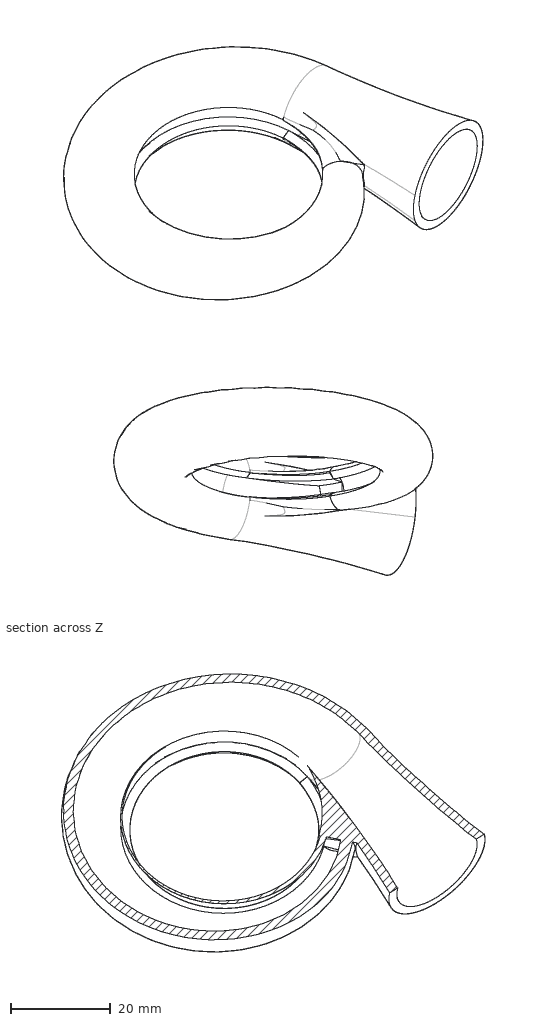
import cadquery as cq
import math


BORE_RADIUS = 18.88
LIP_HALF_HEIGHT = 2.6
WALL = 2.0
SEAM_ANGLE = 90.0
TONGUE_ANGLE = 400.0
SEAM_DIAMETER = 17.5
TONGUE_DIAMETER = 8.9
SPIRAL_STEPS = 12
PIPE_LENGTH = 34.5
PIPE_MID_DIAMETER = 19.5
PIPE_END_DIAMETER = 24.07
PIPE_END_SHIFT = 0.2
CUT_MARGIN = 0.5

WEB_START_ANGLE = TONGUE_ANGLE - 360
WEB_MID_ANGLE = (WEB_START_ANGLE + SEAM_ANGLE) / 2

TONGUE_RADIUS = TONGUE_DIAMETER / 2
TONGUE_CENTRE_OFFSET = math.sqrt(TONGUE_RADIUS**2 - LIP_HALF_HEIGHT**2)
WEB_BULGE = 0.12
WEB_STATIONS = [
    (WEB_START_ANGLE, TONGUE_CENTRE_OFFSET, TONGUE_RADIUS, 8.5, 3.0),
    (WEB_MID_ANGLE, 1.8, 3.8, 2.9, 5.2),
    (SEAM_ANGLE, 0.3, 3.3, 1.9, 5.7),
]
PASSAGE_STATIONS = [
    (WEB_START_ANGLE, 1.6, 1.4, 5.3, 1.8),
    (WEB_MID_ANGLE, 1.6, 1.7, 7.0, 2.0),
    (SEAM_ANGLE, 1.9, 2.0, 7.0, 2.2),
]


def radial_plane(angle):
    """Plane through the Z axis: local x points outward, local y points up."""
    t = math.radians(angle)
    return cq.Plane((0, 0, 0), (math.cos(t), math.sin(t), 0), (math.sin(t), -math.cos(t), 0))


def spiral_radius(angle):
    """Tube radius; the tube area falls off evenly with angle."""
    share = (angle - SEAM_ANGLE) / (TONGUE_ANGLE - SEAM_ANGLE)
    return math.sqrt(SEAM_DIAMETER**2 + share * (TONGUE_DIAMETER**2 - SEAM_DIAMETER**2)) / 2


def centre_offset(radius):
    """Distance from the slot lips to the tube centre."""
    return math.sqrt(radius**2 - LIP_HALF_HEIGHT**2)


def tube_wall(plane, radius):
    """C-shaped tube section, its ends square to the wall at the bore slot."""
    offset = centre_offset(radius)
    centre = BORE_RADIUS + offset
    inner_radius = radius - WALL
    inner_share = inner_radius / radius
    throat = centre - offset * inner_share
    throat_half = LIP_HALF_HEIGHT * inner_share
    wp = cq.Workplane(plane).moveTo(BORE_RADIUS, -LIP_HALF_HEIGHT)
    wp = wp.threePointArc((centre + radius, 0), (BORE_RADIUS, LIP_HALF_HEIGHT))
    wp = wp.lineTo(throat, throat_half)
    wp = wp.threePointArc((centre + inner_radius, 0), (throat, -throat_half))
    return wp.close().val()


def pipe_outline(plane, centre, radius, roundness):
    """Circle whose bore-side strip goes from flat (roundness 0) to round (1)."""
    half_strip = LIP_HALF_HEIGHT * radius / (SEAM_DIAMETER / 2)
    strip = centre - math.sqrt(radius**2 - half_strip**2)
    crest = strip + roundness * (centre - radius - strip)
    wp = cq.Workplane(plane).moveTo(strip, -half_strip)
    wp = wp.threePointArc((centre + radius, 0), (strip, half_strip))
    if roundness > 0:
        wp = wp.threePointArc((crest, 0), (strip, -half_strip))
    return wp.close().val()


def symmetric_polygon(plane, upper_points):
    """Closed outline from its upper half, mirrored about the mid-plane."""
    lower_points = [(x, -z) for x, z in reversed(upper_points)]
    return cq.Workplane(plane).polyline(upper_points + lower_points).close().val()


def web_outline(plane, crown, edge):
    """Web section: arcs from the slot lips to the crowns, then straight to the edges."""
    lip = (BORE_RADIUS, LIP_HALF_HEIGHT)
    run = crown[0] - lip[0]
    rise = crown[1] - lip[1]
    mid = (lip[0] + run / 2 - WEB_BULGE * rise, lip[1] + rise / 2 + WEB_BULGE * run)
    wp = cq.Workplane(plane).moveTo(lip[0], -lip[1]).lineTo(*lip)
    wp = wp.threePointArc(mid, crown).lineTo(*edge).lineTo(edge[0], -edge[1])
    wp = wp.lineTo(crown[0], -crown[1]).threePointArc((mid[0], -mid[1]), (lip[0], -lip[1]))
    return wp.wire().val()


def loft(wires):
    return cq.Workplane(cq.Solid.makeLoft(wires))


def spiral_tube():
    """Tapering tube with its ring slot open to the bore."""
    sections = []
    for i in range(SPIRAL_STEPS + 1):
        angle = SEAM_ANGLE + i * (TONGUE_ANGLE - SEAM_ANGLE) / SPIRAL_STEPS
        sections.append(tube_wall(radial_plane(angle), spiral_radius(angle)))
    return loft(sections)


def pipe_bodies():
    """Outside of the flared outlet pipe and its round hollow."""
    seam_radius = SEAM_DIAMETER / 2
    seam_centre = BORE_RADIUS + centre_offset(seam_radius)
    stations = [
        (0.0, seam_radius),
        (0.5, PIPE_MID_DIAMETER / 2),
        (1.0, PIPE_END_DIAMETER / 2),
    ]
    outside = []
    hollow = []
    for share, radius in stations:
        centre = seam_centre + share * PIPE_END_SHIFT
        plane = cq.Plane((share * PIPE_LENGTH, 0, 0), (0, 1, 0), (1, 0, 0))
        outside.append(pipe_outline(plane, centre, radius, share))
        hollow.append(cq.Workplane(plane).center(centre, 0).circle(radius - WALL).wires().val())
    return loft(outside), loft(hollow)


def web_bodies():
    """Gusset between the narrow end and the pipe, and the passage through it."""
    outside = []
    hollow = []
    for angle, crown, crown_z, edge, edge_z in WEB_STATIONS:
        crown_point = (BORE_RADIUS + crown, crown_z)
        edge_point = (BORE_RADIUS + edge, edge_z)
        outside.append(web_outline(radial_plane(angle), crown_point, edge_point))
    for angle, throat, throat_z, end, end_z in PASSAGE_STATIONS:
        upper = [
            (BORE_RADIUS - CUT_MARGIN, LIP_HALF_HEIGHT),
            (BORE_RADIUS + throat, throat_z),
            (BORE_RADIUS + end, end_z),
        ]
        hollow.append(symmetric_polygon(radial_plane(angle), upper))
    return loft(outside), loft(hollow)


spiral = spiral_tube()
pipe, pipe_hollow = pipe_bodies()
web, web_hollow = web_bodies()

outlet = pipe.union(web).cut(pipe_hollow).cut(web_hollow)
result = outlet.union(spiral)